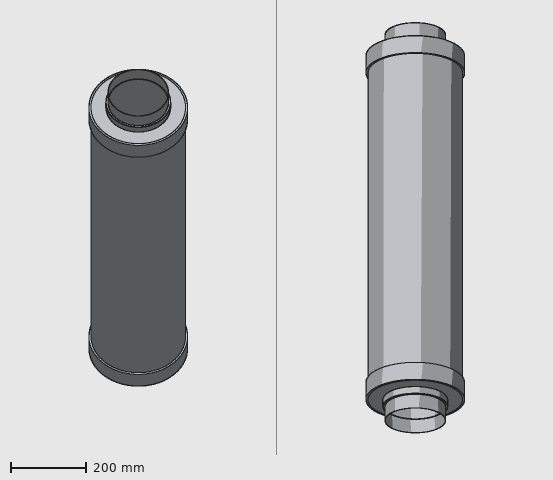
import cadquery as cq

total_height = 1120.0
cap_radius = 131.0
casing_radius = 125.0
collar_radius = 86.0
spigot_radius = 81.0
sheet = 1.0
bore_radius = spigot_radius - sheet

spigot_length = 39.0
collar_length = 20.0
cap_length = 50.0

cap_bevel_width = 6.0
collar_bevel_width = 1.0
bevel_height = 1.0

end_z = total_height / 2
collar_z = end_z - spigot_length
plate_z = collar_z - collar_length
skirt_z = plate_z - cap_length


def revolve_about_z(profile):
    """Turn a closed (radius, height) outline into a solid around the Z axis."""
    return cq.Workplane("XZ").polyline(profile).close().revolve(360, (0, 0), (0, 1))


def make_casing():
    """Thick tube with a stepped neck that fills the collar at each end."""
    shoulder_z = plate_z - sheet
    neck_z = collar_z - sheet
    neck_radius = collar_radius - sheet
    return revolve_about_z([
        (bore_radius, -neck_z),
        (neck_radius, -neck_z),
        (neck_radius, -shoulder_z),
        (casing_radius, -shoulder_z),
        (casing_radius, shoulder_z),
        (neck_radius, shoulder_z),
        (neck_radius, neck_z),
        (bore_radius, neck_z),
    ])


def make_end_fitting():
    """Upper sheet fitting: spigot, collar, bevelled end plate and skirt over the casing."""
    return revolve_about_z([
        (bore_radius, end_z),
        (spigot_radius, end_z),
        (spigot_radius, collar_z),
        (collar_radius - collar_bevel_width, collar_z),
        (collar_radius, collar_z - bevel_height),
        (collar_radius, plate_z),
        (cap_radius - cap_bevel_width, plate_z),
        (cap_radius, plate_z - bevel_height),
        (cap_radius, skirt_z),
        (casing_radius, skirt_z),
        (casing_radius, plate_z - sheet),
        (collar_radius - sheet, plate_z - sheet),
        (collar_radius - sheet, collar_z - sheet),
        (bore_radius, collar_z - sheet),
    ])


casing = make_casing()

end_fittings = []
for turn in (0, 180):
    fitting = make_end_fitting().rotate((0, 0, 0), (1, 0, 0), turn)
    end_fittings.append(fitting.val())

result = cq.Compound.makeCompound([casing.val(), *end_fittings])